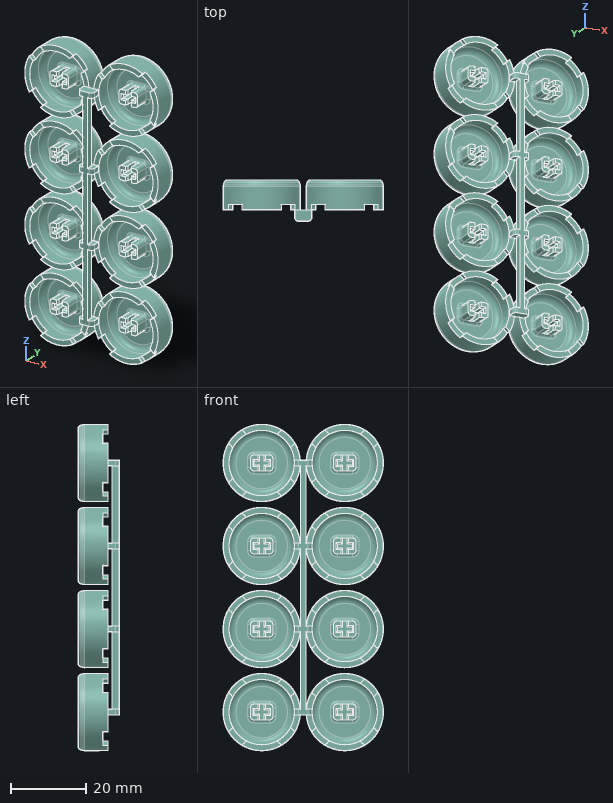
import cadquery as cq
import math

total_height = 86.5
columns = 2
rows = 4
cap_diameter = 20.5
pitch = (total_height - cap_diameter) / (rows - 1)

total_depth = 11.0
cap_depth = 8.0
cap_radius = cap_diameter / 2
bore_radius = 8.65
bore_depth = 6.0
bore_fillet = 1.8
taper_depth = 1.6
taper_angle = 15.0
taper_blend = 1.6
crown_fillet = 1.0

notch_width = 5.0
notch_depth = 1.4
notch_angles = (45, 135)

stem_width = 6.0
stem_height = 4.2
stem_corner = 0.95
stem_length = 4.85
stem_base_fillet = 0.8
socket_length = 4.0
socket_slot = 1.1
through_slot = 1.2
lead_in_width = 0.35
lead_in_depth = 0.7
socket_depth = stem_length - stem_base_fillet

sprue_depth = total_depth - cap_depth
tie_width = 4.6
tie_height = 1.6
tie_fillet = 1.0
spine_width = 1.5
spine_depth = 2.0

select_margin = 0.1

floor_y = bore_depth
stem_tip_y = floor_y - stem_length
column_places = [(i - (columns - 1) / 2) * pitch for i in range(columns)]
row_places = [(i - (rows - 1) / 2) * pitch for i in range(rows)]


def facing_back(y):
    """Sketch plane at the given Y, with X right, Z up and extrusion toward -Y."""
    return cq.Workplane("XZ", origin=(0, y, 0))


def make_shell():
    crown_inset = taper_depth * math.tan(math.radians(taper_angle))
    body = (
        cq.Workplane("XY")
        .polyline([
            (0, 0),
            (cap_radius, 0),
            (cap_radius, cap_depth - taper_depth),
            (cap_radius - crown_inset, cap_depth),
            (0, cap_depth),
        ])
        .close()
        .revolve(360, (0, 0, 0), (0, 1, 0))
    )
    body = body.faces(">Y").edges().fillet(crown_fillet)
    taper_y = cap_depth - taper_depth
    taper_start = cq.selectors.BoxSelector(
        (-cap_radius, taper_y - select_margin, -cap_radius),
        (cap_radius, taper_y + select_margin, cap_radius),
    )
    body = body.edges(taper_start).edges("%CIRCLE").fillet(taper_blend)
    bore = facing_back(floor_y).circle(bore_radius).extrude(bore_depth)
    bore = bore.faces(">Y").edges().fillet(bore_fillet)
    return body.cut(bore)


def cut_notches(shell):
    for angle in notch_angles:
        bar = facing_back(notch_depth).rect(cap_diameter, notch_width).extrude(notch_depth)
        shell = shell.cut(bar.rotate((0, 0, 0), (0, 1, 0), angle))
    return shell


def add_stem(shell):
    stem = (
        facing_back(floor_y)
        .rect(stem_width, stem_height)
        .extrude(stem_length)
        .edges("|Y")
        .fillet(stem_corner)
    )
    cap = shell.union(stem)
    half_width = stem_width / 2 + select_margin
    half_height = stem_height / 2 + select_margin
    base = cq.selectors.BoxSelector(
        (-half_width, floor_y - select_margin, -half_height),
        (half_width, floor_y + select_margin, half_height),
    )
    return cap.edges(base).fillet(stem_base_fillet)


def cut_socket(cap):
    mouth_growth = 2 * lead_in_width
    slots = (
        (socket_length, socket_slot, mouth_growth),
        (through_slot, stem_height, 0),
    )
    for width, height, height_growth in slots:
        slot = facing_back(stem_tip_y + socket_depth).rect(width, height).extrude(socket_depth)
        lead_in = (
            facing_back(stem_tip_y + lead_in_depth)
            .rect(width, height)
            .workplane(offset=lead_in_depth)
            .rect(width + mouth_growth, height + height_growth)
            .loft(ruled=True)
        )
        cap = cap.cut(slot).cut(lead_in)
    return cap


def make_tie(z):
    tie = cq.Workplane("XY").box(tie_width, sprue_depth, tie_height)
    tie = tie.edges("|Z and <Y").fillet(tie_fillet)
    return tie.translate((0, -sprue_depth / 2, z))


def make_spine():
    spine_length = row_places[-1] - row_places[0] + tie_height
    spine = cq.Workplane("XY").box(spine_width, spine_depth, spine_length)
    return spine.translate((0, -sprue_depth + spine_depth / 2, 0))


cap = cut_socket(add_stem(cut_notches(make_shell())))

result = make_spine()
for z in row_places:
    result = result.union(make_tie(z))
    for x in column_places:
        result = result.union(cap.translate((x, 0, z)))